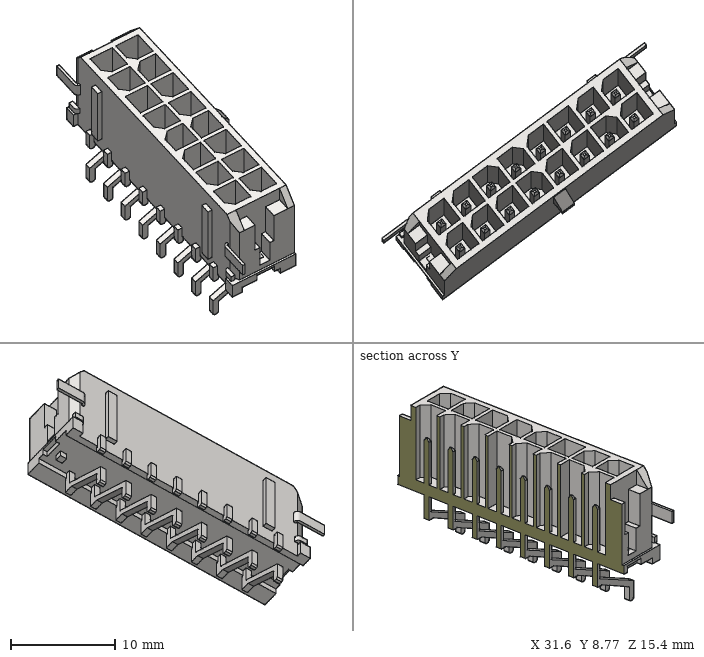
import cadquery as cq


depth = 6.87
height = 9.91
half_length = 13.88
front_overhang = 0.5
top_half_length = 12.46
shoulder_z = 8.28
corner_x, corner_y = 0.95, 0.48
recess_front, recess_rear = 1.05, 6.1
arch_front, arch_rear = 0.67, 5.07
arch_height = 0.67

wide_slot = (2.29, 4.48, 4.77)
narrow_slot = (2.86, 4.01, 2.29)

flange_half_length = 14.1
flange_width = 1.16
flange_height = 1.64
notch_front, notch_rear = 2.37, 4.4
notch_top = 1.35
notch_depth = 0.5

peg_size = 0.72
peg_outer_x = 13.0
peg_y = 3.42

dimple_outer, dimple_inner = 13.16, 12.76
dimple_depth = 0.06

columns = 8
pitch = 3.0
row_y = {"front": 1.94, "rear": 4.92}
cavity_size = 2.58
cavity_corner = 0.75
cavity_floor = 2.0
cavity_keys = {"front": "RR-RLLRR", "rear": "RLRRLRRR"}
pin = 0.65
contact_top = 7.0
contact_tip_inset = 0.22
contact_tip_length = 0.35

tail_chamfer = 0.17
front_tail_bottom, front_tail_top = -0.78, 1.22
total_height = 15.4
tail_end = height - total_height
tail_knee_z = -1.91
tail_knee_y = 4.24
tail_elbow_top_z = -1.1
tail_foot_top_z = -3.43
tail_foot_under_z = -3.86

rib_x, rib_width = 9.38, 1.05
rib_bottom, rib_top = 1.6, 8.27
rib_height = 0.47
latch_width = 1.43
latch_reach = 1.4
latch_lip = 0.55
latch_top, latch_ramp_end, latch_hook, latch_root = 9.37, 7.8, 6.98, 6.58

nail_tip = 15.825
nail_bottom, nail_top = 4.67, 5.99
nail_thickness = 0.29
nail_gap = 0.19
nail_bend = 0.475
tab_outer, tab_inner = 13.8, 12.6
tab_bottom, tab_top = 1.9, 2.55
tab_height = 0.43
tab_bend = 0.425

column_x = [(i - (columns - 1) / 2) * pitch for i in range(columns)]


def block(x0, x1, y0, y1, z0, z1):
    """Box given by its two limits on each axis."""
    return cq.Workplane("XY").box(x1 - x0, y1 - y0, z1 - z0, centered=False).translate((x0, y0, z0))


def extrude_yz(points, x0, x1):
    """Closed (Y, Z) outline extruded from x0 to x1."""
    return cq.Workplane("YZ").polyline(points).close().extrude(x1 - x0).translate((x0, 0, 0))


def both_ends(half):
    """A -X end feature together with its mirror image at +X."""
    return half.union(half.mirror("YZ"))


def housing_shell():
    outline = [
        (-half_length, 0),
        (-half_length, shoulder_z),
        (-top_half_length, height),
        (top_half_length, height),
        (half_length, shoulder_z),
        (half_length, 0),
    ]
    return cq.Workplane("XZ").polyline(outline).close().extrude(-depth)


def corner_chamfer():
    outline = [(-half_length, 0), (-half_length + corner_x, 0), (-half_length, corner_y)]
    return cq.Workplane("XY").polyline(outline).close().extrude(height)


def end_recess():
    """Recess above the shoulder plus the stepped slot below it, at the -X end."""
    x0, x1 = -half_length, -top_half_length
    recess = block(x0, x1, recess_front, recess_rear, shoulder_z, height)
    for front, rear, bottom in (wide_slot, narrow_slot):
        recess = recess.union(block(x0, x1, front, rear, bottom, shoulder_z))
    return recess


def flange():
    outer = -flange_half_length
    return block(outer, outer + flange_width, -front_overhang, depth, 0, flange_height)


def underside_arch():
    arch = block(-flange_half_length, flange_half_length, arch_front, arch_rear, 0, arch_height)
    outer = -flange_half_length
    notch = block(outer, outer + notch_depth, notch_front, notch_rear, 0, notch_top)
    return arch.union(both_ends(notch))


def peg():
    front = peg_y - peg_size / 2
    return block(-peg_outer_x, peg_size - peg_outer_x, front, front + peg_size, 0, arch_height)


def slot_dimple():
    floor = narrow_slot[2]
    outline = [(-dimple_outer, floor), (-dimple_inner, floor), (-dimple_outer, floor - dimple_depth)]
    wedge = cq.Workplane("XZ").polyline(outline).close().extrude(-peg_size)
    return wedge.translate((0, peg_y - peg_size / 2, 0))


def cavity(x, row, key):
    """Square cavity, keyed by cutting off one of its lower corners."""
    half = cavity_size / 2
    if key == "-":
        square = block(-half, half, -half, half, cavity_floor, height)
        return square.translate((x, row_y[row], 0))
    side = 1 if key == "R" else -1
    outline = [
        (-side * half, half),
        (-side * half, -half),
        (side * (half - cavity_corner), -half),
        (side * half, cavity_corner - half),
        (side * half, half),
    ]
    prism = cq.Workplane("XY").polyline(outline).close().extrude(height - cavity_floor)
    return prism.translate((x, row_y[row], cavity_floor))


def contact(x, row):
    y = row_y[row]
    half = pin / 2
    post = block(x - half, x + half, y - half, y + half, cavity_floor, contact_top)
    return post.faces(">Z").chamfer(contact_tip_length, contact_tip_inset)


def front_tail(x):
    half = pin / 2
    front = -front_overhang
    tail = block(x - half, x + half, front, front + pin, front_tail_bottom, front_tail_top)
    return tail.faces("<Z").edges("|X").chamfer(tail_chamfer)


def rear_tail(x):
    """Tail dropping from the rear contact, slanting forward, then dropping to the board."""
    half = pin / 2
    y_rear = row_y["rear"] + half
    front = -front_overhang
    outline = [
        (y_rear, arch_height),
        (y_rear, tail_knee_z),
        (tail_knee_y, tail_knee_z),
        (front + pin, tail_foot_under_z),
        (front + pin, tail_end),
        (front, tail_end),
        (front, tail_foot_top_z),
        (y_rear - pin, tail_elbow_top_z),
        (y_rear - pin, arch_height),
    ]
    tail = extrude_yz(outline, x - half, x + half)
    return tail.faces("<Z").edges("|X").chamfer(tail_chamfer)


def rib():
    x0 = -rib_x - rib_width / 2
    return block(x0, x0 + rib_width, -rib_height, 0, rib_bottom, rib_top)


def latch_ramp():
    tip = depth + latch_reach
    outline = [
        (depth, latch_top),
        (tip, latch_ramp_end),
        (tip, latch_hook),
        (depth + latch_lip, latch_hook),
        (depth, latch_root),
    ]
    return extrude_yz(outline, -latch_width / 2, latch_width / 2)


def nail_wing():
    """Flat wing bent back into the housing with a rounded corner."""
    front = -nail_thickness - nail_gap
    inner = -top_half_length
    wing = block(-nail_tip, inner, front, front + nail_thickness, nail_bottom, nail_top)
    leg = block(inner - nail_thickness, inner, front, 0, nail_bottom, nail_top)
    return wing.union(leg).edges("|Z and >X and <Y").fillet(nail_bend)


def nail_tab():
    tab = block(-tab_outer, -tab_inner, -tab_height, 0, tab_bottom, tab_top)
    return tab.edges("|Z and >X and <Y").fillet(tab_bend)


def build():
    body = housing_shell().cut(both_ends(corner_chamfer())).cut(both_ends(end_recess()))
    body = body.union(both_ends(flange())).cut(underside_arch()).cut(both_ends(slot_dimple()))
    for feature in (peg(), rib(), nail_wing(), nail_tab()):
        body = body.union(both_ends(feature))
    body = body.union(latch_ramp())
    for row, keys in cavity_keys.items():
        for x, key in zip(column_x, keys):
            body = body.cut(cavity(x, row, key)).union(contact(x, row))
    for x in column_x:
        body = body.union(front_tail(x)).union(rear_tail(x))
    return body


result = build()